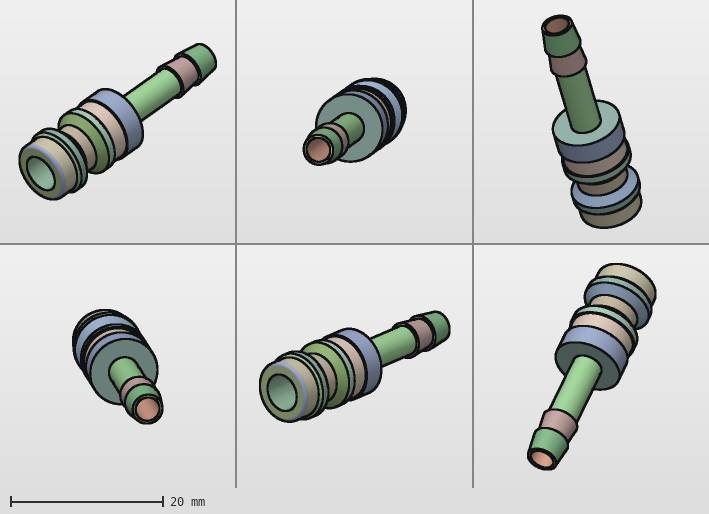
import cadquery as cq


total_length = 32.0
plug_length = 15.0
nose_length = 2.6
front_land_length = 1.1
middle_land_length = 1.15
seal_groove_length = 2.5
collar_length = 3.0
barb_length = 3.4
barb_count = 2
collar_back_wall = 1.0

body_diameter = 9.01
nose_diameter = 8.2
neck_diameter = 6.7
seal_groove_diameter = 8.6
tube_diameter = 4.0
barb_diameter = 4.8
plug_bore_diameter = 5.0
hose_bore_diameter = 3.2

nose_rounding = 0.5

body_radius = body_diameter / 2
nose_radius = nose_diameter / 2
neck_radius = neck_diameter / 2
tube_radius = tube_diameter / 2

nose_shoulder = body_radius - nose_radius
neck_shoulder = body_radius - neck_radius

front_land_start = nose_length + nose_shoulder
front_land_end = front_land_start + front_land_length
neck_start = front_land_end + neck_shoulder
collar_start = plug_length - collar_length
seal_groove_start = collar_start - seal_groove_length
middle_land_start = seal_groove_start - middle_land_length
neck_end = middle_land_start - neck_shoulder
barbs_start = total_length - barb_count * barb_length


def make_plug():
    """Solid plug with nose, locking neck, seal groove and rear collar."""
    profile = (
        cq.Workplane("XY")
        .lineTo(nose_radius, 0)
        .lineTo(nose_radius, nose_length)
        .lineTo(body_radius, front_land_start)
        .lineTo(body_radius, front_land_end)
        .lineTo(neck_radius, neck_start)
        .lineTo(neck_radius, neck_end)
        .lineTo(body_radius, middle_land_start)
        .lineTo(body_radius, seal_groove_start)
        .lineTo(seal_groove_diameter / 2, seal_groove_start)
        .lineTo(seal_groove_diameter / 2, collar_start)
        .lineTo(body_radius, collar_start)
        .lineTo(body_radius, plug_length)
        .lineTo(0, plug_length)
        .close()
    )
    plug = profile.revolve(360, (0, 0, 0), (0, 1, 0))
    return plug.faces("<Y").edges().fillet(nose_rounding)


def make_hose_tail():
    """Solid tube ending in barbs that taper down towards the free end."""
    profile = (
        cq.Workplane("XY")
        .moveTo(0, plug_length)
        .lineTo(tube_radius, plug_length)
        .lineTo(tube_radius, barbs_start)
    )
    for index in range(barb_count):
        barb_start = barbs_start + index * barb_length
        profile = profile.lineTo(barb_diameter / 2, barb_start)
        profile = profile.lineTo(tube_radius, barb_start + barb_length)
    profile = profile.lineTo(0, total_length).close()
    return profile.revolve(360, (0, 0, 0), (0, 1, 0))


def make_bore(diameter, depth):
    """Cylinder on the Y axis, running from the nose face to a given depth."""
    return cq.Workplane("XZ").circle(diameter / 2).extrude(-depth)


plug_bore = make_bore(plug_bore_diameter, plug_length - collar_back_wall)
hose_bore = make_bore(hose_bore_diameter, total_length)

result = make_plug().union(make_hose_tail()).cut(plug_bore).cut(hose_bore)